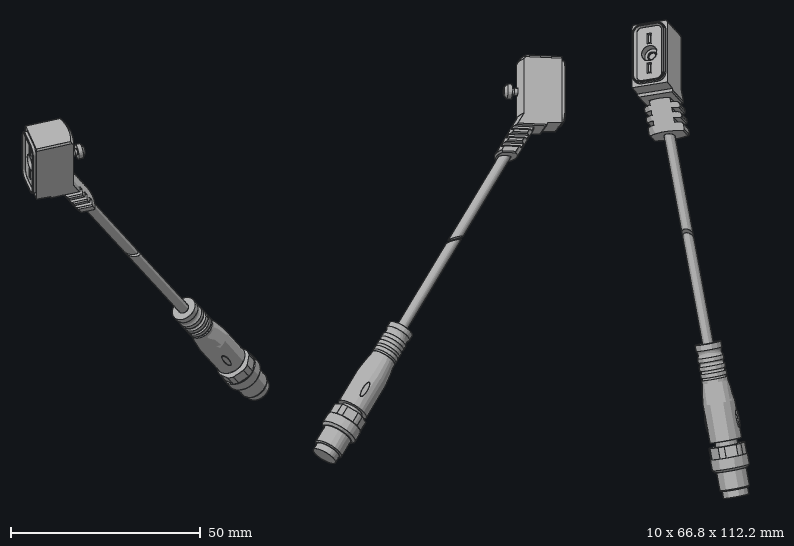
import cadquery as cq
import math

total_depth = 66.8
total_height = 112.2


housing_width = 10.0
housing_top = 9.0
housing_bottom = -9.1
heel_bottom = -10.1
front_underside_end = -9.3
heel_front = 4.8
heel_slant = 0.3
body_front = 1.0
back_edge = 11.2
back_crown = 12.1
side_chamfer = 0.3
top_chamfer_height = 0.6
heel_chamfer_height = 0.3
top_back_chamfer_depth = 0.8
top_back_chamfer_height = 1.1

rim_width = 9.2
rim_height = 16.8
rim_corner = 2.4
rim_chamfer = 0.2
rim_land = 0.2
bevel_width = 0.7
bevel_height = 0.3
floor_corner = 1.3
panel_recess = 0.7

slot_width = 1.1
slot_length = 2.9
slot_offset = 4.3
slot_depth = 1.1
blade_width = 0.5
blade_length = 2.2
blade_inset = 0.2
screw_bore = 4.3
screw_bore_end = 2.9
hole_mouth_diameter = 2.6

thread_diameter = 2.0
shank_diameter = 1.8
thread_end = 13.0
head_seat = 13.7
head_rim = 14.9
head_end = 15.7
head_diameter = 4.0
head_top_diameter = 2.1

tilt = 30.0
cable_diameter = 2.9
cut_tilt = -47.0
lower_cable_end = 69.3
upper_cable_end = 70.4

boot_bottom = -17.8
boot_back = 18.4
boot_front = 12.2
boot_bulge = 1.3
boot_core_width = 5.8
boot_slot_height = 1.0
boot_slot_pitch = 2.4
boot_slot_count = 3
boot_fin_chamfer = 0.3
boot_heel_chamfer = 0.7

nose_diameter = 6.8
nose_length = 1.9
shaft_diameter = 8.0
shaft_chamfer = 0.3
collar_start = 7.1
collar_diameter = 10.0
collar_chamfer = 0.7
hex_start = 10.7
hex_end = 13.7
hex_flats = 9.1
hex_round_diameter = 9.7
neck_diameter = 6.0
grip_start = 15.0
grip_diameter = 8.5
grip_end = 25.1
taper_bulge = 0.1
relief_start = 30.6
relief_diameter = 7.0
plug_length = 41.1
groove_depth = 0.3
relief_grooves = [(31.6, 32.2), (33.3, 34.1), (35.2, 36.4), (37.5, 39.5)]
pad_centre = 20.2
pad_length = 4.5
pad_width = 1.3
pad_span = 9.2

axis_y = -math.sin(math.radians(tilt))
axis_z = math.cos(math.radians(tilt))
slope = math.tan(math.radians(tilt))
plug_end_y = total_depth - axis_z * nose_diameter / 2
plug_end_z = housing_top - total_height - axis_y * nose_diameter / 2
half_width = housing_width / 2
back_bulge = back_crown - back_edge
boot_top = boot_bottom + (boot_back - back_crown) / slope
plug_frame = cq.Plane(origin=(0, plug_end_y, plug_end_z), xDir=(1, 0, 0), normal=(0, axis_y, axis_z))


def on_cable_axis(shape):
    """Move a shape built along Z, with the plug end at Z = 0, onto the tilted cable axis."""
    return cq.Workplane(shape.val().moved(cq.Location(plug_frame)))


def y_cylinder(diameter, start, end):
    """Cylinder on the screw axis."""
    return cq.Workplane("XZ", origin=(0, start, 0)).circle(diameter / 2).extrude(start - end)


def rounded_rectangle(width, height, corner):
    return cq.Sketch().rect(width, height).vertices().fillet(corner)


def cable(start, end):
    """Straight cable between two distances along the axis."""
    length = end - start
    return cq.Workplane("XY", origin=(0, 0, start)).circle(cable_diameter / 2).extrude(length)


def beyond_cut(position, side):
    """Block above (side = 1) or below (side = -1) the slanted cut of the cable at a position."""
    size = 4 * cable_diameter
    block = cq.Workplane("XY").box(size, size, size).translate((0, 0, side * size / 2))
    return block.rotate((0, 0, 0), (1, 0, 0), cut_tilt).translate((0, 0, position))


def housing_block():
    """Box with a bulged back, a lower heel at the rear and chamfered top and bottom edges."""
    block = (
        cq.Workplane("XY", origin=(0, 0, heel_bottom))
        .moveTo(-half_width, body_front)
        .lineTo(half_width, body_front)
        .lineTo(half_width, back_edge)
        .threePointArc((0, back_crown), (-half_width, back_edge))
        .close()
        .extrude(housing_top - heel_bottom)
    )
    underside = (
        cq.Workplane("YZ")
        .moveTo(0, housing_bottom)
        .lineTo(body_front, housing_bottom)
        .lineTo(heel_front, front_underside_end)
        .lineTo(heel_front + heel_slant, heel_bottom)
        .lineTo(0, heel_bottom)
        .close()
        .extrude(half_width, both=True)
    )
    block = block.faces(">Z").edges(">Y").chamfer(top_back_chamfer_height, top_back_chamfer_depth)
    block = block.cut(underside)
    for level, chamfer_end in (
        (housing_top, housing_top - top_chamfer_height),
        (heel_bottom, heel_bottom + heel_chamfer_height),
    ):
        for side in (-1, 1):
            side_wedge = (
                cq.Workplane("XZ")
                .moveTo(side * half_width, level)
                .lineTo(side * (half_width - side_chamfer), level)
                .lineTo(side * half_width, chamfer_end)
                .close()
                .extrude(-back_crown)
            )
            block = block.cut(side_wedge)
    return block


def front_rim():
    """Rim with a narrow land and a bevel that leads in to the recessed panel."""
    rim = cq.Workplane("XZ").placeSketch(rounded_rectangle(rim_width, rim_height, rim_corner))
    rim = rim.extrude(-body_front).faces("<Y").edges().chamfer(rim_chamfer)
    inset = rim_chamfer + rim_land
    mouth_width = rim_width - 2 * inset
    mouth_height = rim_height - 2 * inset
    mouth = rounded_rectangle(mouth_width, mouth_height, rim_corner - inset)
    floor = rounded_rectangle(mouth_width - 2 * bevel_width, mouth_height - 2 * bevel_height, floor_corner)
    floor = floor.moved(cq.Location(cq.Vector(0, 0, -panel_recess)))
    return rim.cut(cq.Workplane("XZ").placeSketch(mouth, floor).loft())


def boot_blank():
    """Boot that leans along the cable: back curved like the housing, flat sides, rounded front."""
    rise = boot_top - boot_bottom
    section = (
        cq.Workplane("XY", origin=(0, 0, boot_bottom))
        .moveTo(-half_width, boot_front + boot_bulge)
        .threePointArc((0, boot_front), (half_width, boot_front + boot_bulge))
        .lineTo(half_width, boot_back - back_bulge)
        .threePointArc((0, boot_back), (-half_width, boot_back - back_bulge))
        .close()
    )
    face = cq.Face.makeFromWires(section.wire().val())
    blank = cq.Workplane(cq.Solid.extrudeLinear(face, cq.Vector(0, -rise * slope, rise)))
    blank = blank.faces("<Z").edges(">Y").chamfer(boot_heel_chamfer)
    return blank.faces("<Z").edges("|Y").chamfer(boot_fin_chamfer)


def boot_slot(top, side):
    """Flat slot through the boot along Y, its mouth chamfering the edges of the fins."""
    bottom = top - boot_slot_height
    mouth = side * half_width
    flare_start = side * (half_width - boot_fin_chamfer)
    core = side * boot_core_width / 2
    return (
        cq.Workplane("XZ")
        .moveTo(core, top)
        .lineTo(flare_start, top)
        .lineTo(mouth, top + boot_fin_chamfer)
        .lineTo(mouth, bottom - boot_fin_chamfer)
        .lineTo(flare_start, bottom)
        .lineTo(core, bottom)
        .close()
        .extrude(-2 * boot_back)
    )


def boot():
    """Boot with slots cut into both sides as far as the core."""
    body = boot_blank()
    for index in range(boot_slot_count):
        for side in (-1, 1):
            body = body.cut(boot_slot(heel_bottom - index * boot_slot_pitch, side))
    return body


def slot_blocks(width, length, start, end):
    """Upright block at both contact slots, between two depths along Y."""
    places = cq.Workplane("XZ", origin=(0, start, 0)).pushPoints([(0, -slot_offset), (0, slot_offset)])
    return places.rect(width, length).extrude(start - end)


def screw_hole():
    """Wide bore from the front, then a hole with a flared mouth that fits the thread."""
    mouth_depth = (hole_mouth_diameter - thread_diameter) / 2
    hole = y_cylinder(thread_diameter, screw_bore_end, back_crown)
    mouth = y_cylinder(hole_mouth_diameter, screw_bore_end, screw_bore_end + mouth_depth)
    return y_cylinder(screw_bore, 0, screw_bore_end).union(mouth).union(hole)


def make_housing():
    """Housing with its boot and the upper piece of cable."""
    boot_entry = (boot_top - plug_end_z) / axis_z
    upper_cable = cable(upper_cable_end - cable_diameter, boot_entry)
    upper_cable = upper_cable.cut(beyond_cut(upper_cable_end, -1))
    body = housing_block().union(front_rim()).union(boot()).union(on_cable_axis(upper_cable))
    slot_floor = panel_recess + slot_depth
    slots = slot_blocks(slot_width, slot_length, panel_recess, slot_floor)
    blades = slot_blocks(blade_width, blade_length, panel_recess + blade_inset, slot_floor)
    return body.cut(slots.cut(blades)).cut(screw_hole())


def make_screw():
    """Screw in the housing, its bevelled head standing off the back."""
    thread = y_cylinder(thread_diameter, screw_bore_end, thread_end)
    shank = y_cylinder(shank_diameter, thread_end, head_seat)
    radius = head_diameter / 2
    top_radius = head_top_diameter / 2
    head = (
        cq.Workplane("XY")
        .moveTo(0, head_seat)
        .lineTo(radius, head_seat)
        .lineTo(radius, head_rim)
        .lineTo(top_radius, head_end)
        .lineTo(0, head_end)
        .close()
        .revolve(360, (0, 0, 0), (0, 1, 0))
    )
    return thread.union(shank).union(head)


def plug_body():
    """Turned body of the plug: nose, threaded shaft, collar, neck, grip and strain relief."""
    nose = nose_diameter / 2
    shaft = shaft_diameter / 2
    collar = collar_diameter / 2
    neck = neck_diameter / 2
    grip = grip_diameter / 2
    relief = relief_diameter / 2
    taper_middle = ((grip + relief) / 2 + taper_bulge, (grip_end + relief_start) / 2)
    profile = (
        cq.Workplane("XZ")
        .lineTo(nose, 0)
        .lineTo(nose, nose_length)
        .lineTo(shaft - shaft_chamfer, nose_length)
        .lineTo(shaft, nose_length + shaft_chamfer)
        .lineTo(shaft, collar_start)
        .lineTo(collar - collar_chamfer, collar_start)
        .lineTo(collar, collar_start + collar_chamfer)
        .lineTo(collar, hex_start)
        .lineTo(neck, hex_start)
        .lineTo(neck, grip_start)
        .lineTo(grip, grip_start)
        .lineTo(grip, grip_end)
        .threePointArc(taper_middle, (relief, relief_start))
    )
    for start, end in relief_grooves:
        profile = profile.lineTo(relief, start)
        profile = profile.threePointArc((relief - groove_depth, (start + end) / 2), (relief, end))
    profile = profile.lineTo(relief, plug_length).lineTo(0, plug_length).close()
    return profile.revolve(360, (0, 0, 0), (0, 1, 0))


def plug_hexagon():
    """Hexagon above the collar, with its corners turned round."""
    length = hex_end - hex_start
    start = cq.Workplane("XY", origin=(0, 0, hex_start))
    hexagon = start.polygon(6, hex_flats, circumscribed=True).extrude(length)
    return hexagon.intersect(start.circle(hex_round_diameter / 2).extrude(length))


def grip_pads():
    """Oval pads raised on both sides of the grip."""
    pads = cq.Workplane("YZ").center(0, pad_centre).ellipse(pad_width / 2, pad_length / 2)
    return pads.extrude(pad_span / 2, both=True)


def make_plug():
    """Plug with the lower piece of cable."""
    lower_cable = cable(plug_length, lower_cable_end + cable_diameter)
    lower_cable = lower_cable.cut(beyond_cut(lower_cable_end, 1))
    body = plug_body().union(plug_hexagon()).union(grip_pads()).union(lower_cable)
    return on_cable_axis(body)


housing = make_housing()
screw = make_screw()
plug = make_plug()
result = cq.Compound.makeCompound([housing.val(), screw.val(), plug.val()])